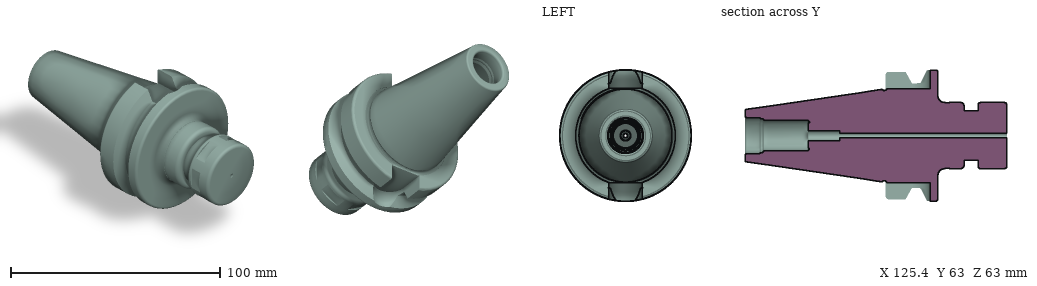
import cadquery as cq
import math

length = 125.4

taper_big_radius = 44.5 / 2
taper_length = 65.5
taper_ratio = 7 / 24
taper_small_radius = taper_big_radius - taper_length * taper_ratio / 2
shank_end_fillet = 0.9

neck_radius = 21.7
neck_start = 66.3
neck_fillet = 0.9

flange_start = 67.3
flange_end = 92.4
flange_radius = 31.5
flange_fillet = 1.3
face_recess_radius = 23.8
face_recess_depth = 0.4
groove_start = 76.9
groove_end = 87.0
groove_floor_radius = 26.2
groove_side_angle = 30.0
groove_side_run = (flange_radius - groove_floor_radius) * math.tan(math.radians(groove_side_angle))

slot_width = 16.0
slot_floor_height = 22.6
slot_end = 88.4

collar_radius = 32.0 / 2
collar_end = 105.0
collar_root_fillet = 3.0
collar_edge_fillet = 2.0
collar_band_start = 95.7
collar_band_end = 98.0
collar_band_depth = 0.1
nose_radius = 24.0 / 2

nut_start = 111.4
nut_radius = collar_radius
nut_fillet = 1.5
flat_count = 6
flat_start = 113.7
flat_length = 5.5
flat_across = 30.0

mouth_radius = 17.0 / 2
mouth_depth = 7.0
mouth_fillet = 1.0
middle_radius = 16.0 / 2
middle_start = 7.6
middle_end = 8.4
thread_radius = 14.3 / 2
thread_start = 9.3
bore_floor_radius = 12.8 / 2
bore_floor = 30.1
floor_bevel = 0.5
floor_cone_run = thread_radius - bore_floor_radius
inner_hole_radius = 5.0 / 2
inner_hole_depth = 15.0
inner_hole_bevel = 0.3
coolant_radius = 2.0 / 2

arc_middle_offset = 1 - math.sqrt(0.5)


def round_edge(outline, corner_x, corner_radius, fillet, rising):
    """Add a convex quarter round from the wall at corner_x up to a cylinder, or from a cylinder to the wall."""
    bulge = fillet * arc_middle_offset
    if rising:
        start = (corner_x, corner_radius - fillet)
        middle = (corner_x + bulge, corner_radius - bulge)
        end = (corner_x + fillet, corner_radius)
    else:
        start = (corner_x - fillet, corner_radius)
        middle = (corner_x - bulge, corner_radius - bulge)
        end = (corner_x, corner_radius - fillet)
    return outline.lineTo(*start).threePointArc(middle, end)


def round_root(outline, corner_x, corner_radius, fillet, rising):
    """Add a concave quarter round from a cylinder up the wall at corner_x, or from the wall to a cylinder."""
    hollow = fillet * arc_middle_offset
    if rising:
        start = (corner_x - fillet, corner_radius)
        middle = (corner_x - hollow, corner_radius + hollow)
        end = (corner_x, corner_radius + fillet)
    else:
        start = (corner_x, corner_radius + fillet)
        middle = (corner_x + hollow, corner_radius + hollow)
        end = (corner_x + fillet, corner_radius)
    return outline.lineTo(*start).threePointArc(middle, end)


def turn(outline):
    return outline.close().revolve(360, (0, 0, 0), (1, 0, 0))


def make_body():
    outline = cq.Workplane("XY").moveTo(0, 0)
    outline = round_edge(outline, 0, taper_small_radius, shank_end_fillet, True)
    outline = outline.lineTo(taper_length, taper_big_radius).lineTo(neck_start, neck_radius)
    recess_floor = flange_start + face_recess_depth
    outline = round_root(outline, recess_floor, neck_radius, neck_fillet, True)
    outline = outline.lineTo(recess_floor, face_recess_radius).lineTo(flange_start, face_recess_radius)
    outline = round_edge(outline, flange_start, flange_radius, flange_fillet, True)
    outline = (
        outline.lineTo(groove_start, flange_radius)
        .lineTo(groove_start + groove_side_run, groove_floor_radius)
        .lineTo(groove_end - groove_side_run, groove_floor_radius)
        .lineTo(groove_end, flange_radius)
    )
    outline = round_edge(outline, flange_end, flange_radius, flange_fillet, False)
    outline = round_root(outline, flange_end, collar_radius, collar_root_fillet, False)
    band_radius = collar_radius - collar_band_depth
    outline = (
        outline.lineTo(collar_band_start, collar_radius)
        .lineTo(collar_band_start, band_radius)
        .lineTo(collar_band_end, band_radius)
        .lineTo(collar_band_end, collar_radius)
    )
    outline = round_edge(outline, collar_end, collar_radius, collar_edge_fillet, False)
    outline = outline.lineTo(collar_end, nose_radius).lineTo(nut_start, nose_radius)
    outline = round_edge(outline, nut_start, nut_radius, nut_fillet, True)
    outline = round_edge(outline, length, nut_radius, nut_fillet, False)
    return turn(outline.lineTo(length, 0))


def make_bore():
    outline = cq.Workplane("XY").moveTo(0, 0)
    outline = round_root(outline, 0, mouth_radius, mouth_fillet, False)
    outline = (
        outline.lineTo(mouth_depth, mouth_radius)
        .lineTo(middle_start, middle_radius)
        .lineTo(middle_end, middle_radius)
        .lineTo(thread_start, thread_radius)
        .lineTo(bore_floor, thread_radius)
        .lineTo(bore_floor + floor_cone_run, bore_floor_radius)
        .lineTo(bore_floor, bore_floor_radius - floor_bevel)
        .lineTo(bore_floor, inner_hole_radius)
        .lineTo(bore_floor + inner_hole_bevel, inner_hole_radius - inner_hole_bevel)
        .lineTo(bore_floor + inner_hole_depth, inner_hole_radius - inner_hole_bevel)
        .lineTo(bore_floor + inner_hole_depth, coolant_radius)
        .lineTo(length, coolant_radius)
        .lineTo(length, 0)
    )
    return turn(outline)


def make_slot():
    """Round-ended drive slot above the floor height, open toward the shank."""
    end_radius = slot_width / 2
    round_center = slot_end - end_radius
    return (
        cq.Workplane("XY", origin=(0, 0, slot_floor_height))
        .moveTo(taper_length, -end_radius)
        .lineTo(round_center, -end_radius)
        .threePointArc((slot_end, 0), (round_center, end_radius))
        .lineTo(taper_length, end_radius)
        .close()
        .extrude(flange_radius)
    )


def make_flat():
    """Block that leaves one wrench flat on the -Y side of the nut."""
    return cq.Workplane("XY").box(flat_length, nut_radius, 2 * nut_radius).translate(
        (flat_start + flat_length / 2, -(flat_across + nut_radius) / 2, 0)
    )


result = make_body().cut(make_bore())

slot = make_slot()
for angle in (0, 180):
    result = result.cut(slot.rotate((0, 0, 0), (1, 0, 0), angle))

flat = make_flat()
for index in range(flat_count):
    result = result.cut(flat.rotate((0, 0, 0), (1, 0, 0), index * 360 / flat_count))